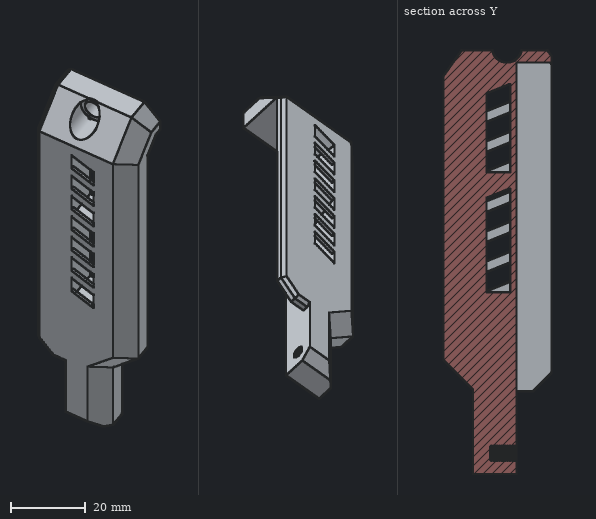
import cadquery as cq

WIDTH = 29.0
HEIGHT = 118.0
HEAD_DEPTH = 16.3

BODY_DEPTH = 9.7
FLANGE_THICKNESS = 2.6
FLANGE_BOTTOM = 22.1
LEG_LEFT = 9.3
LEG_RIGHT = 21.1
SHOULDER_BOTTOM = 22.5
SHOULDER_TOP = SHOULDER_BOTTOM + WIDTH - LEG_RIGHT

HEAD_HEIGHT = 8.0
HEAD_BOTTOM = HEIGHT - HEAD_HEIGHT
GUSSET = 4.4
GUSSET_LEFT = 11.1

WIDE_BEVEL = 5.0
NARROW_BEVEL = 1.1
TOE_BEVEL = 3.1
HEAD_BEVEL = 9.5

SCREW_X = 11.9
SCREW_Z = HEIGHT - 4.0
SCREW_DIAMETER = 5.3
SCREW_HEAD_DIAMETER = 7.9
SCREW_SEAT_Y = 9.9

THREAD_Z = 5.5
THREAD_CREST_DIAMETER = 3.3
THREAD_ROOT_DIAMETER = 4.1
THREAD_PITCH = 0.7
THREAD_TURNS = 10

WINDOW_COUNT = 7
WINDOW_LEFT = 11.1
WINDOW_WIDTH = 7.0
WINDOW_RIGHT = WINDOW_LEFT + WINDOW_WIDTH
WINDOW_HEIGHT = 5.1
WINDOW_DROP = 2.8
WINDOW_PITCH = 8.0
WINDOW_TOP = 104.6

WINDOW_SKIN = 1.0
POCKET_TAPER = 1.4
POCKET_SPLIT = 3
UPPER_CEILING_DROP = 0.8
LOWER_CEILING_DROP = 8.1


def front_prism(points, depth):
    """Extrude an XZ outline from the front face (Y = 0) toward the back."""
    return cq.Workplane("XZ").polyline(points).close().extrude(-depth)


def side_prism(points, left, right):
    """Extrude a YZ outline between two X positions."""
    return cq.Workplane("YZ", origin=(left, 0, 0)).polyline(points).close().extrude(right - left)


def screw_cylinder(diameter, start, end):
    plane = cq.Workplane("XZ", origin=(SCREW_X, start, SCREW_Z))
    return plane.circle(diameter / 2).extrude(start - end)


def window_top(index):
    """Z of the upper left corner of a window, counted from the top."""
    return WINDOW_TOP - index * WINDOW_PITCH


def edge_at(x, y, z):
    """Selector for the edge whose middle is nearest to a point."""
    return cq.selectors.NearestToPointSelector((x, y, z))


def bevel(body, midpoints, size):
    edges = [body.edges(edge_at(*point)).val() for point in midpoints]
    return body.newObject(edges).chamfer(size)


def head_side_edges(x, front_bottom):
    """Middles of the top, sloped and front edges on one side, down to a given Z."""
    front_top = HEIGHT - HEAD_BEVEL
    return [
        (x, (HEAD_BEVEL + HEAD_DEPTH) / 2, HEIGHT),
        (x, HEAD_BEVEL / 2, HEIGHT - HEAD_BEVEL / 2),
        (x, 0, (front_top + front_bottom) / 2),
    ]


def cut_head_slope(body):
    slope = side_prism([(0, HEIGHT - HEAD_BEVEL), (HEAD_BEVEL, HEIGHT), (0, HEIGHT)], 0, WIDTH)
    return body.cut(slope)


def make_head_and_flange():
    """Head block with the thin flange below it, beveled on the left."""
    flange_right = (LEG_LEFT + LEG_RIGHT) / 2
    flange = front_prism(
        [
            (flange_right, FLANGE_BOTTOM),
            (WIDE_BEVEL, FLANGE_BOTTOM),
            (0, FLANGE_BOTTOM + WIDE_BEVEL),
            (0, HEIGHT),
            (flange_right, HEIGHT),
        ],
        BODY_DEPTH,
    )
    head = cq.Workplane("XY").box(WIDTH, HEAD_DEPTH, HEAD_HEIGHT, centered=False)
    head = head.translate((0, 0, HEAD_BOTTOM))
    body = cut_head_slope(head.union(flange).clean())
    left_edges = head_side_edges(0, FLANGE_BOTTOM + WIDE_BEVEL) + [
        (WIDE_BEVEL / 2, 0, FLANGE_BOTTOM + WIDE_BEVEL / 2),
        ((WIDE_BEVEL + flange_right) / 2, 0, FLANGE_BOTTOM),
    ]
    body = bevel(body, left_edges, NARROW_BEVEL)
    recess = cq.Workplane("XY").box(WIDTH, BODY_DEPTH, HEAD_BOTTOM, centered=False)
    return body.cut(recess.translate((0, FLANGE_THICKNESS, 0)))


def make_column():
    """Thick right part of the body, running down into the leg, with the gusset behind it."""
    column = front_prism(
        [
            (LEG_LEFT, 0),
            (LEG_RIGHT, 0),
            (LEG_RIGHT, SHOULDER_BOTTOM),
            (WIDTH, SHOULDER_TOP),
            (WIDTH, HEIGHT),
            (LEG_LEFT, HEIGHT),
        ],
        BODY_DEPTH,
    )
    gusset = side_prism(
        [
            (BODY_DEPTH, HEAD_BOTTOM),
            (BODY_DEPTH + GUSSET, HEAD_BOTTOM),
            (BODY_DEPTH, HEAD_BOTTOM - GUSSET),
        ],
        GUSSET_LEFT,
        WIDTH,
    )
    return cut_head_slope(column.union(gusset))


def bevel_right_side(body):
    right_edges = head_side_edges(WIDTH, SHOULDER_TOP) + [
        ((WIDTH + LEG_RIGHT) / 2, 0, (SHOULDER_TOP + SHOULDER_BOTTOM) / 2),
        (LEG_RIGHT, 0, SHOULDER_BOTTOM / 2),
    ]
    return bevel(body, right_edges, WIDE_BEVEL)


def cut_toe(body):
    toe = side_prism([(0, 0), (TOE_BEVEL, 0), (0, TOE_BEVEL)], 0, WIDTH)
    return body.cut(toe)


def cut_windows(body):
    for index in range(WINDOW_COUNT):
        top = window_top(index)
        window = front_prism(
            [
                (WINDOW_LEFT, top),
                (WINDOW_RIGHT, top - WINDOW_DROP),
                (WINDOW_RIGHT, top - WINDOW_DROP - WINDOW_HEIGHT),
                (WINDOW_LEFT, top - WINDOW_HEIGHT),
            ],
            WINDOW_SKIN,
        )
        body = body.cut(window)
    return body


def pocket(first, last, ceiling_drop):
    """Pocket behind a run of windows: flat floor, slanted ceiling, tapered right wall."""
    floor = window_top(last) - WINDOW_DROP - WINDOW_HEIGHT
    ceiling = window_top(first)

    def section(y, share):
        right = WINDOW_RIGHT - POCKET_TAPER * share
        left_top = ceiling - ceiling_drop * share
        right_top = left_top - WINDOW_DROP * (right - WINDOW_LEFT) / WINDOW_WIDTH
        points = [
            (WINDOW_LEFT, y, floor),
            (right, y, floor),
            (right, y, right_top),
            (WINDOW_LEFT, y, left_top),
        ]
        return cq.Wire.makePolygon([cq.Vector(*point) for point in points], close=True)

    front = section(WINDOW_SKIN, 0)
    back = section(BODY_DEPTH, 1.2)
    return cq.Workplane(cq.Solid.makeLoft([front, back], True))


def cut_pockets(body):
    body = body.cut(pocket(0, POCKET_SPLIT - 1, UPPER_CEILING_DROP))
    return body.cut(pocket(POCKET_SPLIT, WINDOW_COUNT - 1, LOWER_CEILING_DROP))


def cut_screw_hole(body):
    body = body.cut(screw_cylinder(SCREW_DIAMETER, 0, HEAD_DEPTH))
    return body.cut(screw_cylinder(SCREW_HEAD_DIAMETER, 0, SCREW_SEAT_Y))


def cut_threaded_hole(body):
    """Blind hole along X whose thread is a row of ring grooves."""
    crest = THREAD_CREST_DIAMETER / 2
    root = THREAD_ROOT_DIAMETER / 2
    length = THREAD_TURNS * THREAD_PITCH
    profile = [(0, 0), (0, crest)]
    for turn in range(THREAD_TURNS):
        profile.append(((turn + 0.5) * THREAD_PITCH, root))
        profile.append(((turn + 1) * THREAD_PITCH, crest))
    profile.append((length, 0))
    mouth = cq.Workplane("XY", origin=(LEG_LEFT, BODY_DEPTH / 2, THREAD_Z))
    hole = mouth.polyline(profile).close().revolve(360, (0, 0), (1, 0))
    return body.cut(hole)


result = make_head_and_flange().union(make_column()).clean()
result = bevel_right_side(result)
result = cut_toe(result)
result = cut_windows(result)
result = cut_pockets(result)
result = cut_screw_hole(result)
result = cut_threaded_hole(result)